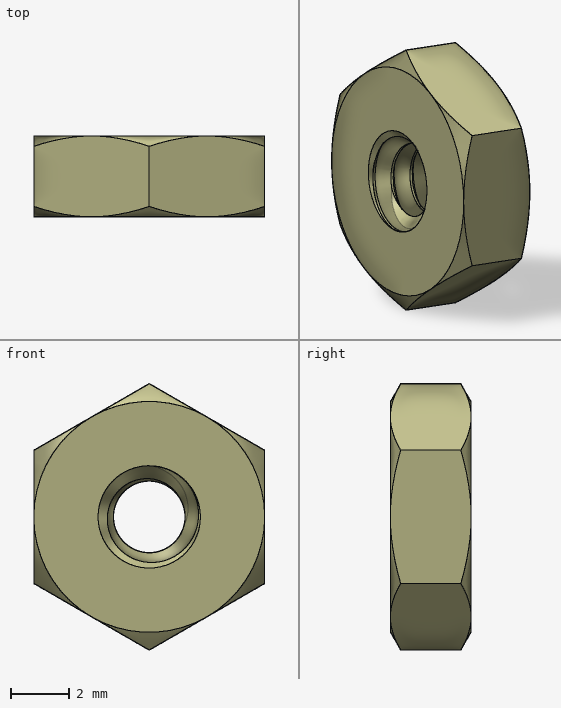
import cadquery as cq
import math

across_corners = 9.17
across_flats = across_corners * math.cos(math.radians(30))
thickness = 2.78
corner_chamfer_angle = 30.0

minor_radius = 1.23
major_radius = 1.75
countersink_radius = 1.76
pitch = 0.8
root_flat = pitch / 8
flank_angle = 30.0
profile_overlap = 0.03


def chamfered_hexagon():
    """Hexagonal prism whose corners are trimmed by a cone at each end."""
    flat_radius = across_flats / 2
    corner_radius = across_corners / 2
    drop = (corner_radius - flat_radius) * math.tan(math.radians(corner_chamfer_angle))
    prism = cq.Workplane("XY").polygon(6, across_corners).extrude(thickness)
    prism = prism.rotate((0, 0, 0), (0, 0, 1), 90)
    envelope = (
        cq.Workplane("XZ")
        .moveTo(0, 0)
        .lineTo(flat_radius, 0)
        .lineTo(corner_radius, drop)
        .lineTo(corner_radius, thickness - drop)
        .lineTo(flat_radius, thickness)
        .lineTo(0, thickness)
        .close()
        .revolve(360, (0, 0, 0), (0, 1, 0))
    )
    return prism.intersect(envelope)


def countersunk_bore():
    """Cutter for the bore with a countersink at each end."""
    depth = countersink_radius - minor_radius
    return (
        cq.Workplane("XZ")
        .moveTo(0, 0)
        .lineTo(countersink_radius, 0)
        .lineTo(minor_radius, depth)
        .lineTo(minor_radius, thickness - depth)
        .lineTo(countersink_radius, thickness)
        .lineTo(0, thickness)
        .close()
        .revolve(360, (0, 0, 0), (0, 1, 0))
    )


def thread_cutter():
    """Threaded rod: a core with a helical trapezoidal ridge, running past both faces."""
    inner_radius = minor_radius - profile_overlap
    root_half = root_flat / 2
    mouth_half = root_half + (major_radius - inner_radius) * math.tan(math.radians(flank_angle))
    turns = math.ceil(thickness / pitch) + 2
    path = cq.Wire.makeHelix(pitch, turns * pitch, minor_radius)
    ridge = (
        cq.Workplane("XZ")
        .moveTo(inner_radius, -mouth_half)
        .lineTo(major_radius, -root_half)
        .lineTo(major_radius, root_half)
        .lineTo(inner_radius, mouth_half)
        .close()
        .sweep(cq.Workplane(path), isFrenet=True)
    )
    ridge = ridge.rotate((0, 0, 0), (0, 0, 1), -90)
    ridge = ridge.translate((0, 0, -pitch - root_half))
    core_margin = 3 * pitch
    core = (
        cq.Workplane("XY")
        .workplane(offset=-core_margin)
        .circle(minor_radius)
        .extrude(thickness + 2 * core_margin)
    )
    return core.union(ridge)


nut = chamfered_hexagon().cut(thread_cutter()).cut(countersunk_bore())
nut = nut.translate((0, 0, -thickness / 2))
result = nut.rotate((0, 0, 0), (1, 0, 0), -90)